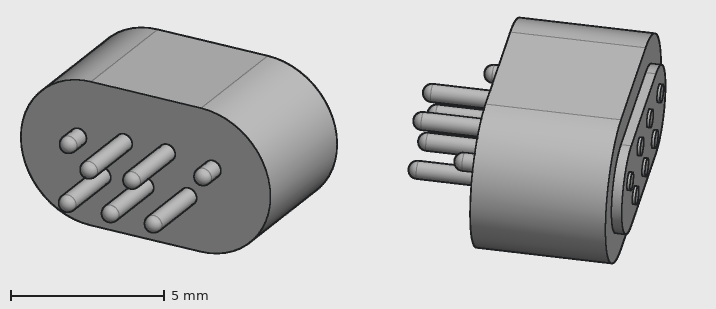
import cadquery as cq

body_width = 9.3
body_height = 5.2
body_depth = 4.5

step_inset = 0.995
step_depth = 0.34

pin_diameter = 0.6
pin_radius = pin_diameter / 2
long_pin_reach = 2.65
short_pin_reach = 0.95
pin_rear_protrusion = 0.1

pin_pitch = 1.6
row_offset = 0.7
short_pin_x = 2.5
short_pin_z = 0.5

rear_face = body_depth + step_depth
pin_rear_end = rear_face + pin_rear_protrusion


def obround(width, height, start, depth):
    """Obround block running from Y = start toward +Y."""
    return (
        cq.Workplane("XZ", origin=(0, start, 0))
        .slot2D(width, height)
        .extrude(-depth)
    )


def pin(x, z, reach):
    """Pin through the body whose rounded tip stands reach ahead of the front face."""
    length = reach + pin_rear_end
    return (
        cq.Workplane("XY")
        .lineTo(pin_radius, 0)
        .lineTo(pin_radius, length - pin_radius)
        .radiusArc((0, length), -pin_radius)
        .close()
        .revolve(360, (0, 0, 0), (0, 1, 0))
        .rotate((0, 0, 0), (1, 0, 0), 180)
        .translate((x, pin_rear_end, z))
    )


body = obround(body_width, body_height, 0, body_depth)
step = obround(
    body_width - 2 * step_inset,
    body_height - 2 * step_inset,
    body_depth,
    step_depth,
)
result = body.union(step)

upper_row = [(side * pin_pitch / 2, row_offset) for side in (-1, 1)]
lower_row = [(column * pin_pitch, -row_offset) for column in (-1, 0, 1)]
for x, z in upper_row + lower_row:
    result = result.union(pin(x, z, long_pin_reach))

for side in (-1, 1):
    result = result.union(pin(side * short_pin_x, short_pin_z, short_pin_reach))